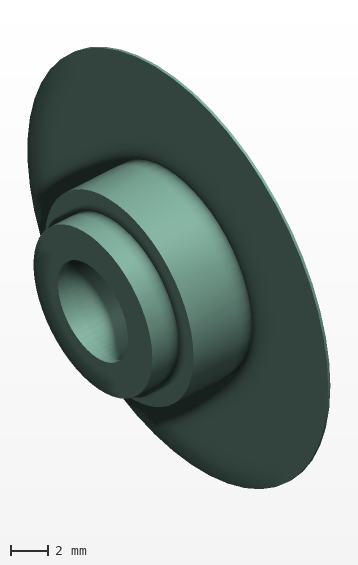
import cadquery as cq

flange_diameter = 25.7
overall_depth = 5.95
bore_diameter = 6.0

hub_diameter = 12.7
nose_diameter = 10.15
nose_length = 1.8
flange_thickness = 0.15
hub_length = overall_depth - flange_thickness - nose_length


def add_disc(body, diameter, length):
    """Stack a concentric disc on the front (-Y) end of the body."""
    return body.faces("<Y").workplane().circle(diameter / 2).extrude(length)


flange = cq.Workplane("XZ").circle(flange_diameter / 2).extrude(flange_thickness)
hub = add_disc(flange, hub_diameter, hub_length)
body = add_disc(hub, nose_diameter, nose_length)

bore = cq.Workplane("XZ").circle(bore_diameter / 2).extrude(overall_depth)
result = body.cut(bore)